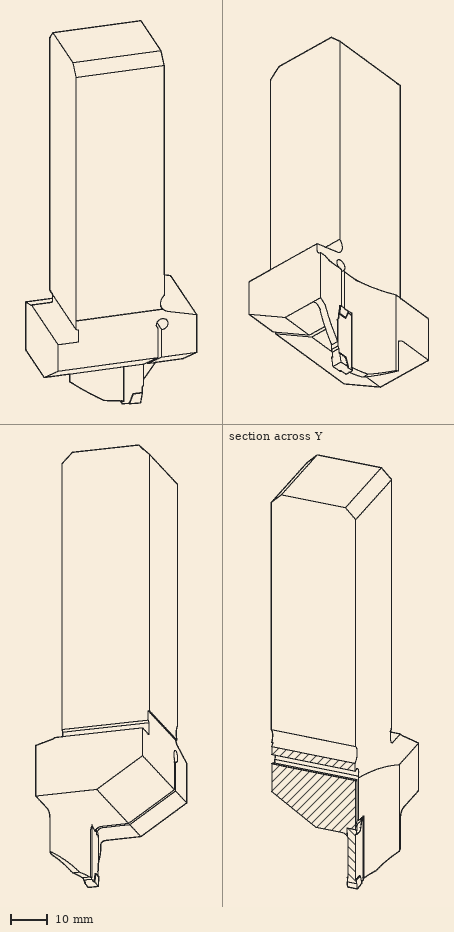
import cadquery as cq
import math

total_height = 116.8
reach = 2 * total_height

shank_side = 25.0
half_shank = shank_side / 2
shank_chamfer = 3.0

side_relief_depth = 0.4
side_relief_top = 39.6
front_relief_depth = 0.8
front_relief_top = 36.9
front_relief_ramp = 0.5
front_relief_fillet = 0.4
front_relief_y = -half_shank + front_relief_depth

head_left = -18.3
head_right = half_shank - side_relief_depth
head_front = -17.5
head_back = 21.8
head_bottom = 16.6
underside_slope_x = -0.9
underside_slope_z = 24.9
front_ledge_z = 32.9
left_ledge_z = 32.8
left_ledge_fillet = 1.5
slope_angle = math.radians(15)

groove_radius = 3.0
groove_y = 14.5
groove_z = 41.5

blade_y = 12.3
blade_inner_radius = 26.0
blade_inner_x = -12.6
blade_outer_radius = 22.8
blade_outer_x = -10.4
blade_front = -5.0
blade_front_z = 5.0
blade_bottom = 1.0
blade_bottom_y = 2.9
blade_fillet = 1.8
back_flat_y = 20.0

jaw_kink_z = 15.1
jaw_tip_z = 6.9

slot_width = 1.0
slot_y = 11.3
slot_hole_radius = 1.6
slot_hole_y = 12.0
slot_hole_z = 34.9

pocket_end = 20.2

insert_length = 20.0
insert_middle = insert_length / 2
seat_y = 8.0
core_top_y = 13.5
core_left = -12.7
core_right = -10.4
core_top_start = 5.3
shoulder_y = 13.2
shoulder_start = 3.3
shoulder_end = 4.5
tip_y = 12.6
end_clearance = 0.4
insert_head_overhang = 0.29
insert_head_length = 3.0
insert_head_end_y = 9.5
insert_head_inner_y = 10.5
heel_y = 7.5


def box(x_range, y_range, z_range):
    sizes = [high - low for low, high in (x_range, y_range, z_range)]
    corner = (x_range[0], y_range[0], z_range[0])
    return cq.Workplane("XY").box(*sizes, centered=False).translate(corner)


def prism_along_x(points, x_low, x_high):
    """Extrude a closed (Y, Z) outline from x_low to x_high."""
    plane = cq.Workplane("YZ", origin=(x_low, 0, 0))
    return plane.polyline(points).close().extrude(x_high - x_low)


def bore_along_x(radius, y, z):
    plane = cq.Workplane("YZ", origin=(-reach / 2, 0, 0))
    return plane.center(y, z).circle(radius).extrude(reach)


def cylinder_with_apex(radius, apex_x):
    """Vertical cylinder whose rightmost line is at apex_x, blade_y."""
    return cq.Workplane("XY").center(apex_x - radius, blade_y).circle(radius).extrude(total_height)


def make_shank():
    half = (-half_shank, half_shank)
    shank = box(half, half, (underside_slope_z, total_height))
    shank = shank.faces(">Z").edges("|Y").chamfer(shank_chamfer)
    return shank.cut(box((head_right, reach), (-reach, reach), (0, side_relief_top)))


def make_head():
    """Head extruded along Y, with a sloped ledge on its left."""
    ledge_end_z = left_ledge_z - (-half_shank - head_left) * math.tan(slope_angle)
    profile = [
        (head_left, head_bottom),
        (underside_slope_x, head_bottom),
        (head_right, underside_slope_z),
        (head_right, side_relief_top),
        (-half_shank, side_relief_top),
        (-half_shank, left_ledge_z),
        (head_left, ledge_end_z),
    ]
    plane = cq.Workplane("XZ", origin=(0, head_back, 0))
    head = plane.polyline(profile).close().extrude(head_back - head_front)
    inner_corner = cq.selectors.NearestToPointSelector(
        (-half_shank, (head_front + head_back) / 2, left_ledge_z)
    )
    return head.edges(inner_corner).fillet(left_ledge_fillet)


def make_front_relief():
    """Cutter above the front ledge, with a ramp at its top and a rounded inner corner."""
    outline = [
        (head_front, front_ledge_z),
        (front_relief_y, front_ledge_z),
        (front_relief_y, front_relief_top - front_relief_ramp),
        (-half_shank, front_relief_top),
        (-half_shank, total_height),
        (head_front, total_height),
    ]
    cutter = prism_along_x(outline, -reach / 2, reach / 2)
    inner_corner = cq.selectors.NearestToPointSelector((0, front_relief_y, front_ledge_z))
    return cutter.edges(inner_corner).fillet(front_relief_fillet)


def make_back_shoulder():
    """Cutter for the sloped shoulder, tangent to the round groove."""
    tangent_y = groove_y - groove_radius * math.sin(slope_angle)
    tangent_z = groove_z - groove_radius * math.cos(slope_angle)
    back_z = tangent_z - (head_back - tangent_y) * math.tan(slope_angle)
    outline = [
        (tangent_y, tangent_z),
        (head_back, back_z),
        (head_back, total_height),
        (groove_y, total_height),
        (groove_y, groove_z),
    ]
    shoulder = prism_along_x(outline, -reach / 2, reach / 2)
    return shoulder.union(bore_along_x(groove_radius, groove_y, groove_z))


def make_blade():
    """Full-height blade and jaw below the head, bounded on the right by the outer arc."""
    blade = box((head_left, head_right), (head_front, head_back), (0, underside_slope_z))
    return blade.intersect(cylinder_with_apex(blade_outer_radius, blade_outer_x))


def make_blade_underside():
    """Cutter for the sloped front of the blade, its bottom and the slopes under the jaw."""
    front_slope = (blade_front_z - blade_bottom) / (blade_bottom_y - blade_front)
    front_end_z = blade_front_z + (blade_front - head_front) * front_slope
    outline = [
        (head_front, front_end_z),
        (blade_bottom_y, blade_bottom),
        (seat_y, blade_bottom),
        (core_top_y, jaw_tip_z),
        (back_flat_y, jaw_kink_z),
        (head_back, head_bottom),
        (head_back, -total_height),
        (head_front, -total_height),
    ]
    return prism_along_x(outline, -reach / 2, reach / 2)


def fillet_blade_root(holder):
    """Round the corner between the outer arc of the blade and the head's underside."""
    margin = 0.1
    root = cq.selectors.BoxSelector(
        (head_left - margin, head_front, head_bottom - margin),
        (underside_slope_x, head_back + margin, head_bottom + margin),
    )
    return holder.edges("%CIRCLE").edges(root).fillet(blade_fillet)


def make_inner_face():
    """Cutter for the concave left face, with a flat strip at its back."""
    rise = back_flat_y - blade_y
    flat_x = blade_inner_x - blade_inner_radius + math.sqrt(blade_inner_radius**2 - rise**2)
    concave = cylinder_with_apex(blade_inner_radius, blade_inner_x)
    concave = concave.cut(box((-reach, reach), (back_flat_y, reach), (0, total_height)))
    flat = box((head_left, flat_x), (back_flat_y, head_back), (0, total_height))
    return concave.union(flat)


def make_slot():
    half_width = slot_width / 2
    slot = box(
        (-reach / 2, reach / 2),
        (slot_y - half_width, slot_y + half_width),
        (0, slot_hole_z),
    )
    return slot.union(bore_along_x(slot_hole_radius, slot_hole_y, slot_hole_z))


def insert_core(x_low, x_high):
    """Insert core as a prism; its ends slope back from the tips."""
    lower_top = [
        (tip_y, 0),
        (shoulder_y, shoulder_start),
        (shoulder_y, shoulder_end),
        (core_top_y, core_top_start),
    ]
    upper_top = [(y, insert_length - z) for y, z in reversed(lower_top)]
    seat = [
        (seat_y, insert_length - end_clearance),
        (seat_y, blade_bottom),
        (heel_y, blade_bottom),
        (heel_y, end_clearance),
    ]
    return prism_along_x(lower_top + upper_top + seat, x_low, x_high)


def make_insert():
    insert = insert_core(core_left, core_right)
    tip_slope = (shoulder_y - tip_y) / shoulder_start
    end_slope = end_clearance / (tip_y - heel_y)
    head_outline = [
        (tip_y, 0),
        (tip_y + insert_head_length * tip_slope, insert_head_length),
        (insert_head_inner_y, insert_head_length),
        (insert_head_end_y, (tip_y - insert_head_end_y) * end_slope),
    ]
    head = prism_along_x(head_outline, core_left - insert_head_overhang, core_right + insert_head_overhang)
    other_head = head.mirror("XY", (0, 0, insert_middle))
    return insert.union(head).union(other_head)


def make_insert_pocket():
    """Pocket open to the left, with a gap between its square upper end and the insert."""
    square_end = box((head_left, core_right), (seat_y, tip_y), (insert_middle, pocket_end))
    return insert_core(head_left, core_right).union(square_end)


def make_holder(insert):
    holder = make_shank().union(make_head())
    holder = holder.cut(make_front_relief()).cut(make_back_shoulder())
    holder = fillet_blade_root(holder.union(make_blade()))
    holder = holder.cut(make_blade_underside())
    holder = holder.cut(make_inner_face()).cut(make_slot())
    return holder.cut(make_insert_pocket()).cut(insert)


insert = make_insert()
holder = make_holder(insert)

result = cq.Compound.makeCompound([holder.val(), insert.val()])